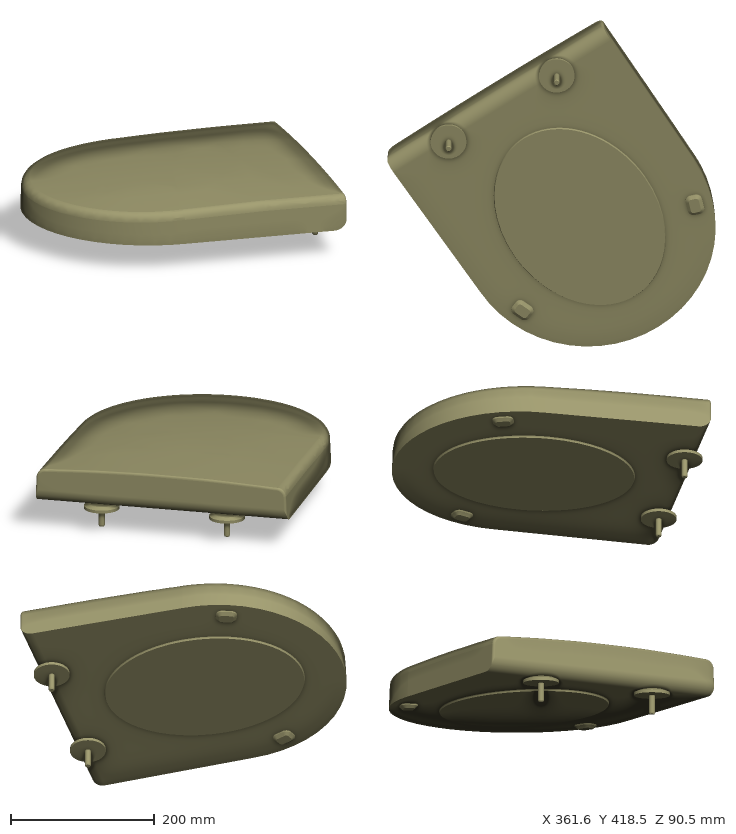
import cadquery as cq
import math


REAR_Y = 234.5
REAR_HALF_WIDTH = 181.0
MID_HALF_WIDTH = 178.0
FRONT_Y = -179.0
WALL_DRAFT = 2.5
SIDE_SLOPE = (REAR_HALF_WIDTH - MID_HALF_WIDTH) / REAR_Y

PEAK_Y = 100.5
PEAK_Z = 57.0
REAR_FALL = 0.0001433
FRONT_FALL = 0.0001911
SIDE_FALL = 0.0003106
REAR_SIDE_FALL = 0.0001911
BLANK_HEIGHT = PEAK_Z + 8.5
OVERSIZE = 21.0
DOME_STEPS = 24

TOP_EDGE_RADIUS = 12.5
REAR_EDGE_RADIUS = 3.5
REAR_BOTTOM_RADIUS = 18.5

SEAT_REAR_Y = 160.7
SEAT_FRONT_Y = -122.5
SEAT_HALF_WIDTH = 109.0
SEAT_THICKNESS = 3.0
SEAT_DRAFT = 20.0

FOOT_X = 143.5
FOOT_Y = -54.0
FOOT_WIDTH = 23.5
FOOT_LENGTH = 29.5
FOOT_CORNER_RADIUS = 8.5
FOOT_TURN = 20.0
FOOT_HEIGHT = 6.0
FOOT_BEVEL_HEIGHT = 3.8
FOOT_BEVEL_WIDTH = 4.5

MOUNT_X = 90.0
MOUNT_DIAMETER = 50.0
MOUNT_REAR_Y = 239.5
MOUNT_Y = MOUNT_REAR_Y - MOUNT_DIAMETER / 2
CAP_HEIGHT = 4.0
CAP_TOP_DIAMETER = 36.5
CAP_RIM_HEIGHT = 1.3
WASHER_THICKNESS = 3.0
STUD_DIAMETER = 8.5
STUD_BOTTOM_Z = -33.5
STUD_TIP_DIAMETER = 6.5
STUD_TIP_HEIGHT = 1.5


def dome_height(x, y):
    """Height of the lid's top surface above its underside."""
    fall = REAR_FALL if y > PEAK_Y else FRONT_FALL
    side_fall = SIDE_FALL - (SIDE_FALL - REAR_SIDE_FALL) * (y / REAR_Y) ** 2
    return PEAK_Z - fall * (y - PEAK_Y) ** 2 - side_fall * x ** 2


def make_lid_blank():
    """Lid outline with drafted walls, running past the rear plane before the rear is cut."""
    overrun_y = REAR_Y + OVERSIZE
    overrun_half_width = REAR_HALF_WIDTH + SIDE_SLOPE * OVERSIZE
    return (
        cq.Workplane("XY")
        .moveTo(overrun_half_width, overrun_y)
        .lineTo(-overrun_half_width, overrun_y)
        .lineTo(-MID_HALF_WIDTH, 0)
        .threePointArc((0, FRONT_Y), (MID_HALF_WIDTH, 0))
        .close()
        .extrude(BLANK_HEIGHT, taper=WALL_DRAFT)
    )


def make_dome_cutter():
    """Everything above the lid's domed top."""
    x_max = REAR_HALF_WIDTH + OVERSIZE
    y_min = FRONT_Y - OVERSIZE
    y_max = REAR_Y + OVERSIZE
    steps = range(DOME_STEPS + 1)
    xs = [x_max * (2 * i / DOME_STEPS - 1) for i in steps]
    ys = [y_min + (y_max - y_min) * j / DOME_STEPS for j in steps]
    grid = [[cq.Vector(x, y, dome_height(x, y)) for y in ys] for x in xs]
    dome = cq.Face.makeSplineApprox(grid, tol=0.01, minDeg=2, maxDeg=4)
    return cq.Workplane(cq.Solid.extrudeLinear(dome, cq.Vector(0, 0, BLANK_HEIGHT)))


def make_rear_cutter():
    """Everything behind the lid's rear plane."""
    return (
        cq.Workplane("XY")
        .box(4 * REAR_HALF_WIDTH, 4 * OVERSIZE, 4 * BLANK_HEIGHT)
        .translate((0, REAR_Y + 2 * OVERSIZE, 0))
    )


def make_rear_bottom_cutter():
    """The corner left outside the round along the lid's rear bottom edge."""
    arc_offset = REAR_BOTTOM_RADIUS * (1 - math.sqrt(0.5))
    return (
        cq.Workplane("YZ")
        .moveTo(REAR_Y - REAR_BOTTOM_RADIUS, 0)
        .threePointArc((REAR_Y - arc_offset, arc_offset), (REAR_Y, REAR_BOTTOM_RADIUS))
        .lineTo(REAR_Y + OVERSIZE, REAR_BOTTOM_RADIUS)
        .lineTo(REAR_Y + OVERSIZE, -OVERSIZE)
        .lineTo(REAR_Y - REAR_BOTTOM_RADIUS, -OVERSIZE)
        .close()
        .extrude(REAR_HALF_WIDTH + OVERSIZE, both=True)
    )


def make_lid():
    lid = make_lid_blank().cut(make_dome_cutter()).cut(make_rear_cutter())
    lid = lid.faces(">Z").edges("not >Y").fillet(TOP_EDGE_RADIUS)
    lid = lid.faces(">Y").edges("not <Z").fillet(REAR_EDGE_RADIUS)
    return lid.cut(make_rear_bottom_cutter())


def make_seat():
    seat_half_length = (SEAT_REAR_Y - SEAT_FRONT_Y) / 2
    seat_centre_y = (SEAT_REAR_Y + SEAT_FRONT_Y) / 2
    return (
        cq.Workplane("XY")
        .center(0, seat_centre_y)
        .ellipse(SEAT_HALF_WIDTH, seat_half_length)
        .extrude(-SEAT_THICKNESS, taper=SEAT_DRAFT)
    )


def make_foot(side):
    """Foot on the left (side = -1) or right (side = 1) of the lid."""
    return (
        cq.Workplane("XY")
        .rect(FOOT_WIDTH, FOOT_LENGTH)
        .extrude(-FOOT_HEIGHT)
        .edges("|Z").fillet(FOOT_CORNER_RADIUS)
        .faces("<Z").edges().chamfer(FOOT_BEVEL_HEIGHT, FOOT_BEVEL_WIDTH)
        .rotate((0, 0, 0), (0, 0, 1), -side * FOOT_TURN)
        .translate((side * FOOT_X, FOOT_Y, 0))
    )


def mount_plane(side, z):
    return cq.Workplane("XY", origin=(side * MOUNT_X, MOUNT_Y, z))


def make_cap(side):
    cone_height = CAP_HEIGHT - CAP_RIM_HEIGHT
    cone_inset = (MOUNT_DIAMETER - CAP_TOP_DIAMETER) / 2
    return (
        mount_plane(side, -CAP_HEIGHT)
        .circle(MOUNT_DIAMETER / 2)
        .extrude(CAP_HEIGHT)
        .faces(">Z").edges().chamfer(cone_height, cone_inset)
    )


def make_washer(side):
    return (
        mount_plane(side, -CAP_HEIGHT)
        .circle(MOUNT_DIAMETER / 2)
        .circle(STUD_DIAMETER / 2)
        .extrude(-WASHER_THICKNESS)
    )


def make_stud(side):
    tip_inset = (STUD_DIAMETER - STUD_TIP_DIAMETER) / 2
    return (
        mount_plane(side, STUD_BOTTOM_Z)
        .circle(STUD_DIAMETER / 2)
        .extrude(-CAP_HEIGHT - STUD_BOTTOM_Z)
        .faces("<Z").edges().chamfer(STUD_TIP_HEIGHT, tip_inset)
    )


SIDES = (-1, 1)
lid = make_lid()
seat = make_seat()
feet = [make_foot(side) for side in SIDES]
caps = [make_cap(side) for side in SIDES]
washers = [make_washer(side) for side in SIDES]
studs = [make_stud(side) for side in SIDES]

bodies = [lid, seat, *feet, *caps, *washers, *studs]
result = cq.Compound.makeCompound([body.val() for body in bodies])